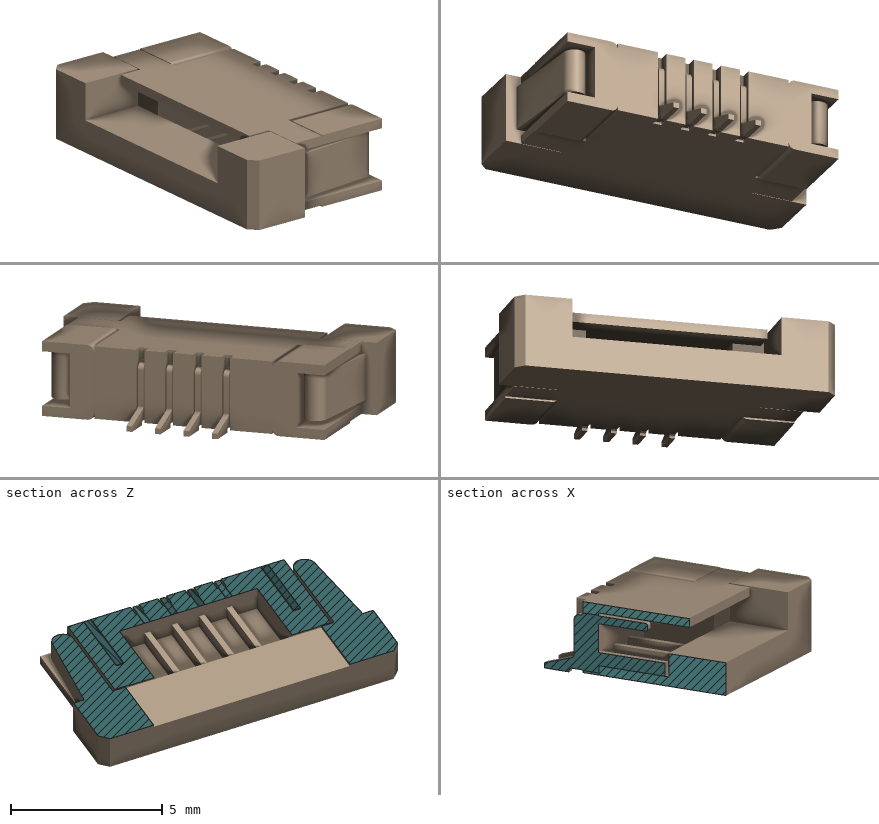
import cadquery as cq
import math


total_width = 11.0
total_height = 2.54
tail_end_y = 6.9

body_width = 9.92
body_rear_y = 5.81
body_bottom_z = 0.05
body_top_z = 2.52
frame_depth = 2.19
frame_gap = 0.02
frame_chamfer = 0.3
entry_width = 7.18
entry_floor_z = 1.2
nose_width = 6.97
lip_front_y = 1.4
cavity_width = 5.04
cavity_floor_z = 0.4
cavity_roof_z = 2.2
cavity_rear_y = 4.84

channel_bottom_z = 0.34
channel_top_z = 2.2
channel_depth = 0.99
arm_bottom_z = 0.55
arm_top_z = 2.11
arm_root_x = 5.12
arm_inner_x = 4.05
arm_tip_y = 5.57
arm_tip_radius = 0.38

tab_front_y = 3.31
tab_width = 1.84
tab_thickness = 0.24
tab_clearance = 0.01

pin_count = 4
pin_pitch = 1.0
pin_thickness = 0.2
pin_bottom_z = 0.14
foot_front_y = 5.94
foot_chamfer = 0.05
tail_end_z = 0.19
tail_root_z = 0.54
tail_root_radius = 0.1
spine_rear_y = 5.78
spine_rear_z = 2.05
spine_radius = 0.21
spine_step_y = 5.48
upper_arm_tip_y = 2.97
upper_arm_top_z = 2.11
upper_arm_bottom_z = 1.83
upper_arm_radius = 0.1
lower_arm_tip_y = 2.31
lower_arm_top_z = 0.85
notch_width = 0.31
notch_depth = 0.37

pin_places = [(i - (pin_count - 1) / 2) * pin_pitch for i in range(pin_count)]


def block(x_min, x_max, y_min, y_max, z_min, z_max):
    size = (x_max - x_min, y_max - y_min, z_max - z_min)
    return cq.Workplane("XY").box(*size, centered=False).translate((x_min, y_min, z_min))


def centred_block(width, y_min, y_max, z_min, z_max):
    return block(-width / 2, width / 2, y_min, y_max, z_min, z_max)


def mirrored_pair(left_part):
    return left_part.union(left_part.mirror("YZ"))


def make_frame():
    """Front frame with chamfered corners and the notch for the cable."""
    frame = centred_block(total_width, 0, frame_depth, body_bottom_z, body_top_z)
    frame = frame.edges("|Z and <Y").chamfer(frame_chamfer)
    return frame.cut(centred_block(entry_width, 0, frame_depth, entry_floor_z, body_top_z))


def make_left_arm():
    """Arm that tapers backwards from the frame and ends in a rounded tip."""
    tip_centre_x = -arm_inner_x - arm_tip_radius
    tip_centre_y = arm_tip_y - arm_tip_radius
    run_x = tip_centre_x + arm_root_x
    run_y = tip_centre_y - frame_depth
    normal_angle = math.atan2(run_y, run_x) + math.asin(arm_tip_radius / math.hypot(run_x, run_y))
    touch_x = tip_centre_x - arm_tip_radius * math.sin(normal_angle)
    touch_y = tip_centre_y + arm_tip_radius * math.cos(normal_angle)
    return (
        cq.Workplane("XY", origin=(0, 0, arm_bottom_z))
        .moveTo(-arm_root_x, frame_depth)
        .lineTo(touch_x, touch_y)
        .threePointArc((tip_centre_x, arm_tip_y), (-arm_inner_x, tip_centre_y))
        .lineTo(-arm_inner_x, frame_depth)
        .close()
        .extrude(arm_top_z - arm_bottom_z)
    )


def make_left_channel():
    outer_x = -body_width / 2
    return block(outer_x, outer_x + channel_depth, frame_depth, body_rear_y, channel_bottom_z, channel_top_z)


def make_left_tab_recess():
    """Room for a tab: two flat seats and the slot for its upright web."""
    outer_x = -body_width / 2
    web_x = outer_x + tab_width - tab_thickness
    inner_x = outer_x + tab_width + tab_clearance
    front_y = tab_front_y - tab_clearance
    upper_seat = block(outer_x, inner_x, front_y, body_rear_y, total_height - tab_thickness, total_height)
    lower_seat = block(outer_x, inner_x, front_y, body_rear_y, 0, tab_thickness)
    web_slot = block(web_x, inner_x, front_y, body_rear_y, 0, total_height)
    return upper_seat.union(lower_seat).union(web_slot)


def make_pin_passage(x):
    """Tight slot through the rear wall, opening into a wider notch in the rear edge."""
    notch_y = body_rear_y - notch_depth
    slot = centred_block(pin_thickness, cavity_rear_y, notch_y, pin_bottom_z, upper_arm_top_z)
    notch = centred_block(notch_width, notch_y, body_rear_y, body_bottom_z, body_top_z)
    return slot.union(notch).translate((x, 0, 0))


def make_housing():
    """Body with lip, cavity and openings, joined to the front frame and its arms."""
    wide_part = centred_block(body_width, frame_depth + frame_gap, body_rear_y, body_bottom_z, body_top_z)
    nose = centred_block(nose_width, frame_depth, body_rear_y, body_bottom_z, body_top_z)
    lip = centred_block(nose_width, lip_front_y, frame_depth, cavity_roof_z, body_top_z)
    cavity = centred_block(cavity_width, frame_depth, cavity_rear_y, cavity_floor_z, cavity_roof_z)
    body = wide_part.union(nose).union(lip).cut(cavity)
    body = body.cut(mirrored_pair(make_left_channel())).cut(mirrored_pair(make_left_tab_recess()))
    for x in pin_places:
        body = body.cut(make_pin_passage(x))
    return body.union(make_frame()).union(mirrored_pair(make_left_arm()))


def make_left_tab():
    """C-shaped strip, open to the outside, with rounded bends."""
    outer_x = -body_width / 2
    inner_x = outer_x + tab_width
    strip = block(outer_x, inner_x, tab_front_y, body_rear_y, 0, total_height)
    strip = strip.edges("|Y and >X").fillet(tab_thickness)
    web_x = inner_x - tab_thickness
    gap_top_z = total_height - tab_thickness
    gap = block(outer_x, web_x, tab_front_y, body_rear_y, tab_thickness, gap_top_z)
    return strip.cut(gap)


def make_pin(x):
    """Flat fork: two arms towards the cable, a spine, and a solder tail behind."""
    tail_slope = (tail_root_z - tail_end_z) / (tail_end_y - body_rear_y)
    spine_foot_z = tail_end_z + tail_slope * (tail_end_y - spine_rear_y)
    outline = [
        (foot_front_y, 0),
        (tail_end_y, 0),
        (tail_end_y, tail_end_z),
        (spine_rear_y, spine_foot_z),
        (spine_rear_y, spine_rear_z),
        (spine_step_y, spine_rear_z),
        (spine_step_y, upper_arm_top_z),
        (upper_arm_tip_y, upper_arm_top_z),
        (upper_arm_tip_y, upper_arm_bottom_z),
        (cavity_rear_y, upper_arm_bottom_z),
        (cavity_rear_y, lower_arm_top_z),
        (lower_arm_tip_y, lower_arm_top_z),
        (lower_arm_tip_y, cavity_floor_z),
        (cavity_rear_y, cavity_floor_z),
        (cavity_rear_y, pin_bottom_z),
        (foot_front_y - foot_chamfer, pin_bottom_z),
        (foot_front_y, pin_bottom_z - foot_chamfer),
    ]
    side_plane = cq.Workplane("YZ", origin=(x - pin_thickness / 2, 0, 0))
    pin = side_plane.polyline(outline).close().extrude(pin_thickness)

    def edge_at(y, z):
        return cq.selectors.NearestToPointSelector((x, y, z))

    pin = pin.edges(edge_at(spine_rear_y, spine_foot_z)).fillet(tail_root_radius)
    pin = pin.edges(edge_at(spine_rear_y, spine_rear_z)).fillet(spine_radius)
    for z in (upper_arm_top_z, upper_arm_bottom_z):
        pin = pin.edges(edge_at(upper_arm_tip_y, z)).fillet(upper_arm_radius)
    return pin


housing = make_housing()
left_tab = make_left_tab()
right_tab = left_tab.mirror("YZ")
pins = [make_pin(x) for x in pin_places]

result = cq.Compound.makeCompound(
    [housing.val(), left_tab.val(), right_tab.val(), *[pin.val() for pin in pins]]
)